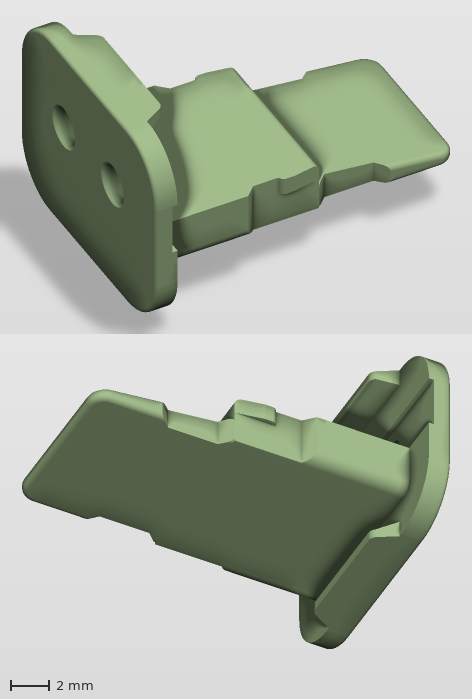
import cadquery as cq
import math

plate_width = 14.95
plate_height = 11.5
plate_thickness = 1.3
plate_corner_radius = 3.2
plate_edge_radius = 0.2

hole_spacing = 5.4
hole_height = 1.0
hole_diameter = 1.7
countersink_diameter = 2.52
countersink_angle = 90

clip_reach = 2.6
clip_base_half_width = 4.08
clip_side_angle = 60
clip_corner_radius = 0.5
clip_base_height = 1.0
clip_tip_height = 0.55
clip_tip_flat = 0.21

blade_top = -0.5
blade_bottom = -3.45
root_half_width = 5.2
neck_half_width = 4.6
root_end = 6.7
neck_end = 11.2
root_bottom_radius = 0.7
neck_front_radius = 0.4

recess_floor = 1.0
recess_top = plate_height / 2 - plate_corner_radius

nib_half_width = 4.88
nib_height = 1.0
nib_flat_start = 9.11
nib_flat_end = 9.58
nib_outer_radius = 0.29
nib_inner_radius = 0.1

tongue_end = 19.35
tongue_root_top = -1.82
tongue_tip_top = -2.75
tongue_corner_radius = 1.0
tongue_edge_radius = 0.29

notch_half_width = 3.95
notch_end = 15.42


def on_both_sides(part):
    return part.union(part.mirror("YZ"))


def make_plate():
    plate = (
        cq.Workplane("XY")
        .box(plate_width, plate_thickness, plate_height, centered=(True, False, True))
        .edges("|Y").fillet(plate_corner_radius)
        .faces("<Y").edges().fillet(plate_edge_radius)
    )
    recess = (
        cq.Workplane("XY", origin=(0, recess_floor, blade_top))
        .box(plate_width, plate_thickness, recess_top - blade_top, centered=(True, False, False))
    )
    return plate.cut(recess)


def cut_holes(part):
    return (
        part.copyWorkplane(cq.Workplane("XZ"))
        .pushPoints([(side * hole_spacing / 2, hole_height) for side in (-1, 1)])
        .cskHole(hole_diameter, countersink_diameter, countersink_angle, depth=plate_thickness)
    )


def make_top_clip():
    outer_z = plate_height / 2
    tip_z = outer_z - clip_tip_height
    profile = (
        cq.Workplane("YZ")
        .moveTo(recess_floor, outer_z)
        .lineTo(clip_reach, outer_z)
        .lineTo(clip_reach, tip_z)
        .lineTo(clip_reach - clip_tip_flat, tip_z)
        .lineTo(plate_thickness, outer_z - clip_base_height)
        .lineTo(recess_floor, outer_z - clip_base_height)
        .close()
        .extrude(clip_base_half_width, both=True)
    )
    side_run = (clip_reach - plate_thickness) / math.tan(math.radians(clip_side_angle))
    tip_half_width = clip_base_half_width - side_run
    outline = (
        cq.Workplane("XY")
        .polyline([
            (-clip_base_half_width, recess_floor),
            (clip_base_half_width, recess_floor),
            (clip_base_half_width, plate_thickness),
            (tip_half_width, clip_reach),
            (-tip_half_width, clip_reach),
            (-clip_base_half_width, plate_thickness),
        ])
        .close()
        .extrude(plate_height)
        .edges("|Z and >Y").fillet(clip_corner_radius)
    )
    return profile.intersect(outline)


def make_blade_root():
    return (
        cq.Workplane("XY", origin=(0, recess_floor, blade_bottom))
        .box(2 * root_half_width, neck_end - recess_floor, blade_top - blade_bottom,
             centered=(True, False, False))
        .edges("|Y and <Z").fillet(root_bottom_radius)
        .edges("|X and >Y and >Z").fillet(neck_front_radius)
        .cut(make_neck_relief())
    )


def make_neck_relief():
    shoulder = root_half_width - neck_half_width
    side = (
        cq.Workplane("XY", origin=(0, 0, blade_bottom))
        .polyline([
            (root_half_width, root_end),
            (neck_half_width, root_end + shoulder),
            (neck_half_width, neck_end),
            (root_half_width, neck_end),
        ])
        .close()
        .extrude(blade_top - blade_bottom)
    )
    return on_both_sides(side)


def make_nibs():
    radius_sum = nib_outer_radius + nib_inner_radius
    turn = math.acos(1 - (nib_half_width - neck_half_width) / radius_sum)

    def convex(angle):
        return (nib_half_width - nib_outer_radius * (1 - math.cos(angle)),
                nib_flat_start - nib_outer_radius * math.sin(angle))

    back_y = nib_flat_start - radius_sum * math.sin(turn)

    def concave(angle):
        return (neck_half_width + nib_inner_radius * (1 - math.cos(angle)),
                back_y + nib_inner_radius * math.sin(angle))

    inside = notch_half_width
    nib = (
        cq.Workplane("XY", origin=(0, 0, blade_top - nib_height))
        .moveTo(inside, neck_end)
        .lineTo(neck_half_width, neck_end)
        .lineTo(nib_half_width, nib_flat_end)
        .lineTo(nib_half_width, nib_flat_start)
        .threePointArc(convex(turn / 2), convex(turn))
        .threePointArc(concave(turn / 2), concave(0))
        .lineTo(inside, back_y)
        .close()
        .extrude(nib_height)
        .edges("|X and >Y and >Z").fillet(neck_front_radius)
    )
    return on_both_sides(nib)


def make_tongue():
    tongue = (
        cq.Workplane("YZ")
        .polyline([
            (neck_end, blade_bottom),
            (tongue_end, blade_bottom),
            (tongue_end, tongue_tip_top),
            (neck_end, tongue_root_top),
        ])
        .close()
        .extrude(neck_half_width, both=True)
        .edges("|Z and >Y").fillet(tongue_corner_radius)
    )
    tongue = tongue.faces("<Z or (>Z)").edges("not <Y").fillet(tongue_edge_radius)
    return tongue.cut(make_tongue_notches())


def make_tongue_notches():
    depth = neck_half_width - notch_half_width
    notch = (
        cq.Workplane("XY", origin=(0, 0, blade_bottom))
        .polyline([
            (neck_half_width, neck_end),
            (notch_half_width, neck_end + depth),
            (notch_half_width, notch_end - depth),
            (neck_half_width, notch_end),
        ])
        .close()
        .extrude(blade_top - blade_bottom)
    )
    return on_both_sides(notch)


top_clip = make_top_clip()
plate = cut_holes(make_plate()).union(top_clip).union(top_clip.mirror("XY"))
blade = make_blade_root().union(make_nibs()).union(make_tongue())
result = plate.union(blade)